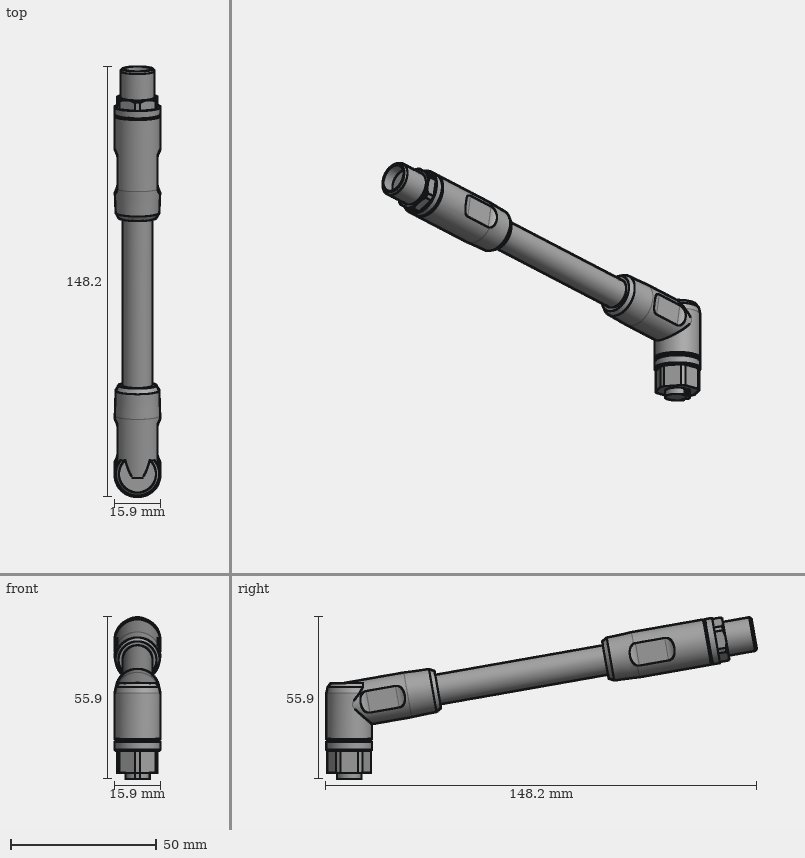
import cadquery as cq
import math


body_diameter = 15.9
body_radius = body_diameter / 2
arm_radius = 7.9
cable_radius = 5.2
groove_radius = 6.5
arm_tilt = 10.0
joint_height = 25.5

hex_half_width = 7.0
hex_corner_reach = 7.5

insert_radius = 4.3
insert_length = 2.2
foot_hex_top = 9.6
foot_ring_top = 13.3
foot_ring_chamfer = 0.6
elbow_bottom = 14.0
keyway_width = 1.8
keyway_depth = 0.9
keyway_angles = (0, 270)

taper_start = 29.6
taper_top = 31.7
elbow_top = 33.0
taper_inset = 0.5
taper_radius = body_radius - taper_inset
crown_radius = 6.4

boot_length = 10.5
boot_tip_length = 1.8
boot_neck_radius = 7.5
boot_tip_radius = 6.5
elbow_boot_start = 20.5
plug_boot_end = 100.0

width_across_flats = 13.8
flat_length = 10.2
flat_end_radius = 4.0
elbow_flat_center = 11.7
plug_flat_center = 105.8

plug_body_end = 125.1
plug_ring_start = 125.7
plug_ring_end = 128.2
plug_hex_end = 131.6
plug_hex_chamfer = 0.9
plug_end = 141.5
plug_radius = 6.0
plug_chamfer = 0.7
socket_radius = 4.7
socket_depth = 4.5


def turned(profile):
    """Solid of revolution about Z from (radius, height) points that start and end on the axis."""
    return cq.Workplane("XZ").polyline(profile).close().revolve(360, (0, 0), (0, 1))


def disc(radius, bottom, top):
    return cq.Workplane("XY").workplane(offset=bottom).circle(radius).extrude(top - bottom)


def cut_corner_hexagon(bottom, top):
    """Hexagon with flats facing +X and -X, its six corners cut flat."""
    def prism(half_width, first_angle):
        corner_radius = half_width / math.cos(math.pi / 6)
        angles = [math.radians(first_angle + 60 * i) for i in range(6)]
        points = [(corner_radius * math.cos(a), corner_radius * math.sin(a)) for a in angles]
        return cq.Workplane("XY").workplane(offset=bottom).polyline(points).close().extrude(top - bottom)

    return prism(hex_half_width, 30).intersect(prism(hex_corner_reach, 0))


def make_elbow():
    body = turned([
        (0, elbow_bottom),
        (body_radius, elbow_bottom),
        (body_radius, taper_start),
        (taper_radius, taper_top),
        (crown_radius, elbow_top),
        (0, elbow_top),
    ])
    neck = disc(groove_radius, foot_ring_top, elbow_bottom)
    ring = disc(body_radius, foot_hex_top, foot_ring_top).edges().chamfer(foot_ring_chamfer)
    nut = cut_corner_hexagon(insert_length, foot_hex_top)
    insert = disc(insert_radius, 0, insert_length)
    for angle in keyway_angles:
        keyway = (
            cq.Workplane("XY")
            .rect(keyway_width, 2 * keyway_depth)
            .extrude(insert_length)
            .translate((0, -insert_radius, 0))
            .rotate((0, 0, 0), (0, 0, 1), angle)
        )
        insert = insert.cut(keyway)
    return body.union(neck).union(ring).union(nut).union(insert)


def cut_finger_flats(arm, center):
    """Mill a flat with concave run-outs into both sides of the arm."""
    for side in (-1, 1):
        cutter = (
            cq.Workplane("XZ")
            .center(side * (width_across_flats / 2 + flat_end_radius), center)
            .slot2D(flat_length + 2 * flat_end_radius, 2 * flat_end_radius, 90)
            .extrude(body_radius, both=True)
        )
        arm = arm.cut(cutter)
    return arm


def make_arm():
    """The arm along +Z, starting where its axis meets the elbow axis."""
    elbow_boot_end = elbow_boot_start + boot_length
    plug_boot_start = plug_boot_end - boot_length
    arm = turned([
        (0, 0),
        (arm_radius, 0),
        (arm_radius, elbow_boot_start),
        (boot_neck_radius, elbow_boot_end - boot_tip_length),
        (boot_tip_radius, elbow_boot_end),
        (cable_radius, elbow_boot_end),
        (cable_radius, plug_boot_start),
        (boot_tip_radius, plug_boot_start),
        (boot_neck_radius, plug_boot_start + boot_tip_length),
        (body_radius, plug_boot_end),
        (body_radius, plug_body_end),
        (groove_radius, plug_body_end),
        (groove_radius, plug_ring_start),
        (body_radius, plug_ring_start),
        (body_radius, plug_ring_end),
        (plug_radius, plug_ring_end),
        (plug_radius, plug_end - plug_chamfer),
        (plug_radius - plug_chamfer, plug_end),
        (0, plug_end),
    ])
    for center in (elbow_flat_center, plug_flat_center):
        arm = cut_finger_flats(arm, center)

    chamfered_blank = disc(body_radius, plug_ring_end, plug_hex_end).faces(">Z").chamfer(plug_hex_chamfer)
    nut = cut_corner_hexagon(plug_ring_end, plug_hex_end).intersect(chamfered_blank)
    socket = disc(socket_radius, plug_end - socket_depth, plug_end)
    return arm.union(nut).cut(socket)


arm = make_arm().rotate((0, 0, 0), (1, 0, 0), arm_tilt - 90).translate((0, 0, joint_height))
result = make_elbow().union(arm)